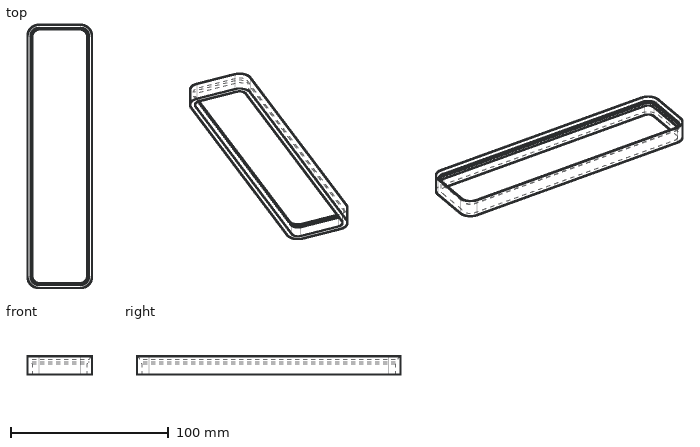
import cadquery as cq

width = 41.0
length = 167.0
height = 11.7
corner_radius = 7.5

rim_bevel = 2.0
step_height = 1.7
ledge_bevel = 1.2

wall = rim_bevel + ledge_bevel
step_top = height - rim_bevel
step_bottom = step_top - step_height
inner_wall_top = step_bottom - ledge_bevel


def wall_section():
    """Wall cross-section in the XZ plane, with the outer face at -width / 2."""
    outer_x = -width / 2
    step_x = outer_x + rim_bevel
    inner_x = outer_x + wall
    return (
        cq.Workplane("XZ")
        .moveTo(outer_x, 0)
        .lineTo(outer_x, height)
        .lineTo(step_x, step_top)
        .lineTo(step_x, step_bottom)
        .lineTo(inner_x, inner_wall_top)
        .lineTo(inner_x, 0)
        .close()
    )


def straight_wall(span_width, span_length):
    """Wall along Y on the -X side of a frame of the given width, between its corners."""
    run = span_length - 2 * corner_radius
    return (
        wall_section()
        .extrude(run / 2, both=True)
        .translate(((width - span_width) / 2, 0, 0))
    )


def corner():
    """Quarter-turn wall joining the -X and -Y sides."""
    center_x = -width / 2 + corner_radius
    return (
        wall_section()
        .revolve(90, (center_x, 0), (center_x, 1))
        .translate((0, -length / 2 + corner_radius, 0))
    )


def mirrored_pair(body, plane):
    return body.union(body.mirror(plane))


side_walls = mirrored_pair(straight_wall(width, length), "YZ")
end_wall = straight_wall(length, width).rotate((0, 0, 0), (0, 0, 1), 90)
end_walls = mirrored_pair(end_wall, "XZ")
corners = mirrored_pair(mirrored_pair(corner(), "YZ"), "XZ")

result = side_walls.union(end_walls).union(corners)